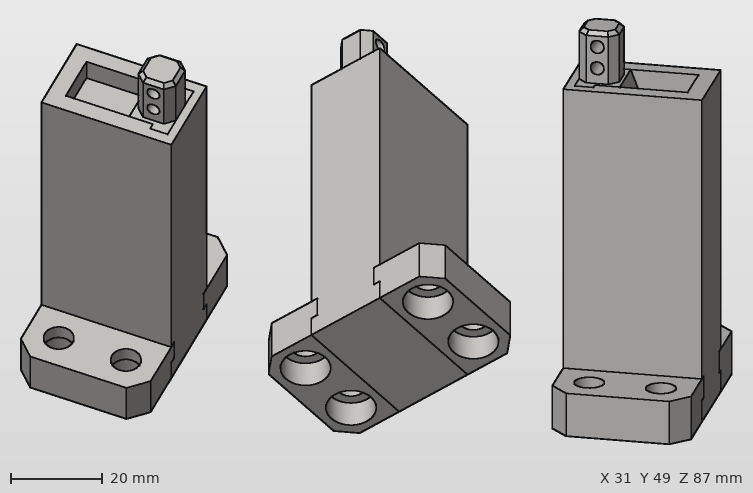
import cadquery as cq

housing_length = 31.0
housing_width = 19.0
housing_height = 75.0

overall_width = 49.0
clamp_height = 10.0
tongue_depth = 1.65
tongue_thickness = clamp_height / 2
clamp_corner = 4.0
bolt_hole_diameter = 6.6
counterbore_diameter = 11.0
counterbore_depth = 6.6
bolt_hole_x = 8.0
bolt_hole_y = 17.0

pocket_depth = 5.2
pocket_start_x = -11.4
pocket_end_wall = 2.0
pocket_end_x = housing_length / 2 - pocket_end_wall
stem_width = 11.05
head_width = 13.9
head_length = 4.2

wedge_top_x = 3.7
wedge_foot_x = 1.7

total_height = 87.0
pin_height = total_height - housing_height
pin_size = 9.0
pin_corner = 2.0
pin_top_chamfer = 1.0
cross_hole_diameter = 3.0
upper_hole_drop = 3.5
cross_hole_spacing = 5.0
pin_x = pocket_end_x - pin_size / 2

pocket_floor_z = housing_height - pocket_depth
groove_bottom_z = clamp_height - tongue_thickness


def box_between(x_range, y_range, z_range):
    """Axis-aligned box from its limits along X, Y and Z."""
    lows, highs = zip(x_range, y_range, z_range)
    sizes = [high - low for low, high in zip(lows, highs)]
    return cq.Workplane("XY").box(*sizes, centered=False).translate(lows)


def tongue(side):
    """Strip along X that lies inside one Y side of the housing; side is +1 or -1."""
    outer_y = side * housing_width / 2
    inner_y = outer_y - side * tongue_depth
    return box_between(
        (-housing_length / 2, housing_length / 2),
        (min(inner_y, outer_y), max(inner_y, outer_y)),
        (groove_bottom_z, clamp_height),
    )


def t_pocket():
    """Space of the T-shaped pocket: a long stem with a wider head at its +X end."""
    z_range = (pocket_floor_z, housing_height)
    stem = box_between((pocket_start_x, pocket_end_x), (-stem_width / 2, stem_width / 2), z_range)
    head = box_between(
        (pocket_end_x - head_length, pocket_end_x), (-head_width / 2, head_width / 2), z_range
    )
    return stem.union(head)


def make_housing():
    block = cq.Workplane("XY").box(
        housing_length, housing_width, housing_height, centered=(True, True, False)
    )
    for side in (-1, 1):
        block = block.cut(tongue(side))
    return block.cut(t_pocket())


def make_clamp(side):
    """Flange on the +Y (side = 1) or -Y (side = -1) face, bolted from below."""
    flange_width = (overall_width - housing_width) / 2
    flange_y = side * (housing_width + flange_width) / 2
    outer_corners = "|Z and >Y" if side > 0 else "|Z and <Y"
    flange = (
        cq.Workplane("XY")
        .box(housing_length, flange_width, clamp_height, centered=(True, True, False))
        .translate((0, flange_y, 0))
        .edges(outer_corners)
        .chamfer(clamp_corner)
    )
    hole_centers = cq.Workplane("XY").pushPoints(
        [(-bolt_hole_x, side * bolt_hole_y), (bolt_hole_x, side * bolt_hole_y)]
    )
    bolt_holes = hole_centers.circle(bolt_hole_diameter / 2).extrude(clamp_height)
    counterbores = hole_centers.circle(counterbore_diameter / 2).extrude(counterbore_depth)
    return flange.cut(bolt_holes).cut(counterbores).union(tongue(side))


def make_wedge_block():
    """T-shaped block flush with the housing top, with a sloping face towards -X."""
    side_profile = (
        cq.Workplane("XZ")
        .moveTo(wedge_foot_x, pocket_floor_z)
        .lineTo(wedge_top_x, housing_height)
        .lineTo(pocket_end_x, housing_height)
        .lineTo(pocket_end_x, pocket_floor_z)
        .close()
        .extrude(head_width / 2, both=True)
    )
    return side_profile.intersect(t_pocket())


def make_pin():
    body = (
        cq.Workplane("XY")
        .box(pin_size, pin_size, pin_height, centered=(True, True, False))
        .edges("|Z")
        .chamfer(pin_corner)
        .faces(">Z")
        .chamfer(pin_top_chamfer)
        .translate((pin_x, 0, housing_height))
    )
    upper_hole_z = total_height - upper_hole_drop
    cross_holes = (
        cq.Workplane("XZ")
        .pushPoints([(pin_x, upper_hole_z), (pin_x, upper_hole_z - cross_hole_spacing)])
        .circle(cross_hole_diameter / 2)
        .extrude(pin_size / 2, both=True)
    )
    return body.cut(cross_holes)


housing = make_housing()
clamps = [make_clamp(side) for side in (-1, 1)]
wedge_block = make_wedge_block()
pin = make_pin()

result = cq.Compound.makeCompound(
    [housing.val(), *[clamp.val() for clamp in clamps], wedge_block.val(), pin.val()]
)